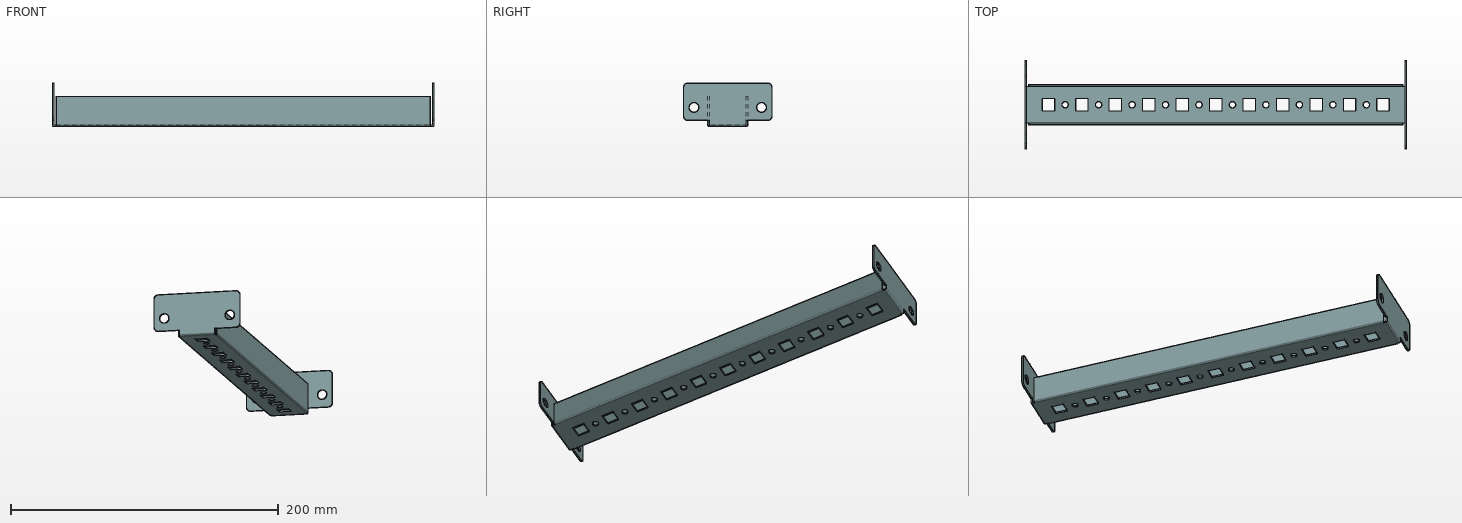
import cadquery as cq

length = 285.0
plate_width = 66.0
total_height = 32.5
sheet = 1.25
bend_radius = 1.0

channel_width = 30.0
web_width = channel_width - 2 * sheet
flange_height = 22.5
flange_end_gap = 2.8
flange_length = length - 2 * flange_end_gap

tab_height = 4.5
plate_corner_radius = 3.0
plate_hole_diameter = 7.0
plate_hole_spacing = 50.5
plate_hole_rise = 9.7

square_count = 11
square_row_span = 250.0
square_pitch = square_row_span / (square_count - 1)
square_side = 9.0
round_diameter = 4.5


def block(size_x, size_y, size_z):
    """Box centred on X and Y that stands on Z = 0."""
    return cq.Workplane("XY").box(size_x, size_y, size_z, centered=(True, True, False))


def make_channel():
    """Web and flanges, rounded outside along both bends."""
    outside = block(flange_length, channel_width, flange_height)
    inside = block(flange_length, web_width, flange_height).translate((0, 0, sheet))
    return outside.edges("|X and <Z").fillet(bend_radius).cut(inside)


def make_web_and_tabs():
    """Web over the full length, bent up at both ends into the plate tabs."""
    outside = block(length, web_width, total_height)
    inside = block(length - 2 * sheet, web_width, total_height).translate((0, 0, sheet))
    return outside.edges("|Y and <Z").fillet(bend_radius).cut(inside)


def make_end_plate(left_x):
    """Rounded plate that spans one sheet thickness from the given X."""
    plate_height = total_height - tab_height
    return (
        cq.Workplane("YZ", origin=(left_x, 0, tab_height + plate_height / 2))
        .rect(plate_width, plate_height)
        .extrude(sheet)
        .edges("|X")
        .fillet(plate_corner_radius)
    )


def make_plate_holes():
    """Cylinders along X that pierce both end plates."""
    half_spacing = plate_hole_spacing / 2
    return (
        cq.Workplane("YZ", origin=(-length / 2, 0, tab_height + plate_hole_rise))
        .pushPoints([(-half_spacing, 0), (half_spacing, 0)])
        .circle(plate_hole_diameter / 2)
        .extrude(length)
    )


def make_web_perforation():
    web_plane = cq.Workplane("XY")
    squares = (
        web_plane.rarray(square_pitch, 2.8, square_count, 1)
        .rect(square_side, square_side)
        .extrude(sheet)
    )
    rounds = (
        web_plane.rarray(square_pitch, 2.8, square_count - 1, 1)
        .circle(round_diameter / 2)
        .extrude(sheet)
    )
    return squares.union(rounds)


body = make_channel().union(make_web_and_tabs())
for left_x in (-length / 2, length / 2 - sheet):
    body = body.union(make_end_plate(left_x))

result = body.cut(make_plate_holes()).cut(make_web_perforation())